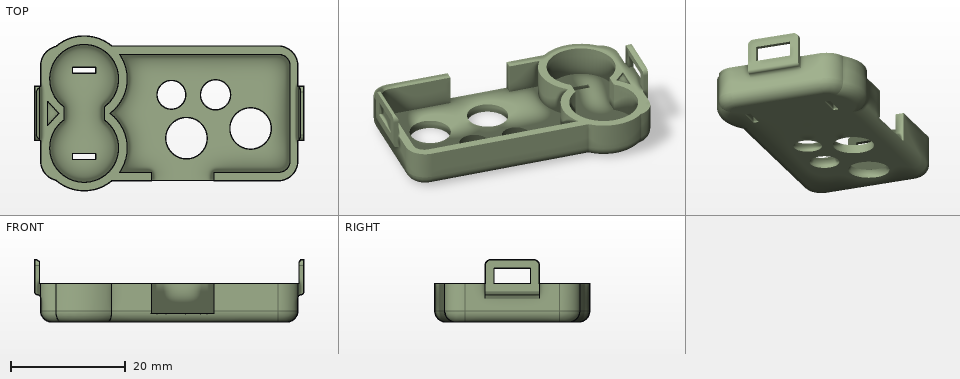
import cadquery as cq
import math

total_length = 47.0
body_length = 44.95
body_width = 23.6
body_height = 6.75
corner_radius = 3.52
bottom_radius = 1.97
wall = 1.5
end_wall = 1.35
floor = 1.5

lobe_x = -14.85
lobe_y = 6.0
pocket_radius = 6.0
lobe_radius = 7.5
throat_width = 7.1
slot_length = 4.0
slot_width = 1.0
slot_y = 7.5

large_hole = 7.2
floor_holes = [
    (0.38, 3.25, 5.0),
    (8.1, 3.25, 5.2),
    (3.0, -4.32, large_hole),
    (14.2, -2.65, large_hole),
]

notch_x = 2.35
notch_width = 10.9

arrow_base_x = -21.25
arrow_tip_x = -19.25
arrow_half_width = 2.1
arrow_depth = 0.45

tab_width = 9.5
tab_top = 10.9
tab_thickness = 0.9
tab_bottom = 4.25
tab_corner_radius = 1.0
left_flat_top = 0.35
left_bevel_drop = 0.35
right_flat_top = 0.55
right_bevel_drop = 0.5
window_width = 6.35
window_top = 9.4


def cylinder(x, y, radius, bottom, top):
    return cq.Workplane("XY", origin=(x, y, bottom)).circle(radius).extrude(top - bottom)


def box(length, width, bottom, top, x=0, y=0):
    return cq.Workplane("XY", origin=(x, y, bottom)).rect(length, width).extrude(top - bottom)


def make_body():
    """Rounded block merged with two round lobes, all rounded along the bottom."""
    body = box(body_length, body_width, 0, body_height)
    body = body.edges("|Z").fillet(corner_radius).faces("<Z").edges().fillet(bottom_radius)
    for side in (-1, 1):
        lobe = cylinder(lobe_x, side * lobe_y, lobe_radius, 0, body_height)
        body = body.union(lobe.faces("<Z").edges().fillet(bottom_radius))
    return body


def make_main_cavity():
    """Rounded pocket that stops at the curved walls of the lobes."""
    right = body_length / 2 - end_wall
    cavity = box(right - lobe_x, body_width - 2 * wall, floor, body_height, x=(right + lobe_x) / 2)
    cavity = cavity.edges("|Z and >X").fillet(corner_radius - wall)
    for side in (-1, 1):
        cavity = cavity.cut(cylinder(lobe_x, side * lobe_y, lobe_radius, 0, body_height))
    return cavity


def make_lobe_pocket():
    """Two round pockets joined by a straight throat."""
    pocket = box(throat_width, 2 * lobe_y, floor, body_height, x=lobe_x)
    for side in (-1, 1):
        pocket = pocket.union(cylinder(lobe_x, side * lobe_y, pocket_radius, floor, body_height))
    return pocket


def make_arrow():
    return (
        cq.Workplane("XY", origin=(0, 0, body_height - arrow_depth))
        .moveTo(arrow_base_x, -arrow_half_width)
        .lineTo(arrow_tip_x, 0)
        .lineTo(arrow_base_x, arrow_half_width)
        .close()
        .extrude(arrow_depth)
    )


def make_tab(flat_top, bevel_drop):
    """Upright loop at the -X end with a bevelled top and an S-curved root against the end wall."""
    outer = -total_length / 2
    inner = outer + tab_thickness
    body_end = -body_length / 2
    curve = (body_end - outer) / 2
    near = curve * (1 - math.sqrt(0.5))
    middle_x = outer + curve
    middle_z = tab_bottom + curve
    tab = (
        cq.Workplane("XZ")
        .moveTo(outer, middle_z + curve)
        .threePointArc((outer + near, middle_z + near), (middle_x, middle_z))
        .threePointArc((body_end - near, middle_z - near), (body_end, tab_bottom))
        .lineTo(body_end, body_height)
        .lineTo(inner, body_height)
        .lineTo(inner, tab_top - bevel_drop)
        .lineTo(outer + flat_top, tab_top)
        .lineTo(outer, tab_top)
        .close()
        .extrude(tab_width / 2, both=True)
    )
    outline = box(4 * tab_thickness, tab_width, 0, tab_top, x=outer)
    tab = tab.intersect(outline.edges("|X and >Z").fillet(tab_corner_radius))
    return tab.cut(box(3 * tab_thickness, window_width, body_height, window_top, x=outer))


body = make_body().cut(make_main_cavity()).cut(make_lobe_pocket())
body = body.cut(box(notch_width, 2 * wall, floor, body_height, x=notch_x, y=-body_width / 2))
for x, y, diameter in floor_holes:
    body = body.cut(cylinder(x, y, diameter / 2, 0, floor))
for side in (-1, 1):
    body = body.cut(box(slot_length, slot_width, 0, floor, x=lobe_x, y=side * slot_y))
body = body.cut(make_arrow())

left_tab = make_tab(left_flat_top, left_bevel_drop)
right_tab = make_tab(right_flat_top, right_bevel_drop).mirror("YZ")
result = body.union(left_tab).union(right_tab)